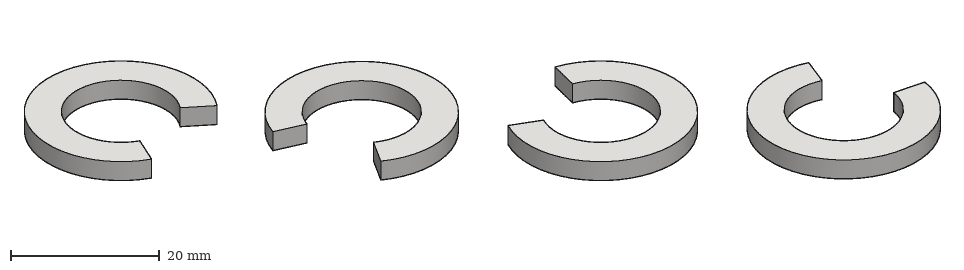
import cadquery as cq
import math

outer_radius = 13.0
inner_radius = 8.0
thickness = 3.0
gap_half_angle = 39.0


def point_at(radius, angle):
    """Point on a circle about the ring axis, at an angle in degrees from +X."""
    radians = math.radians(angle)
    return (radius * math.cos(radians), radius * math.sin(radians))


def open_ring():
    """Flat C-shaped ring with radial end faces, resting on Z = 0."""
    return (
        cq.Workplane("XY")
        .moveTo(*point_at(outer_radius, gap_half_angle))
        .threePointArc((-outer_radius, 0), point_at(outer_radius, -gap_half_angle))
        .lineTo(*point_at(inner_radius, -gap_half_angle))
        .threePointArc((-inner_radius, 0), point_at(inner_radius, gap_half_angle))
        .close()
        .extrude(thickness)
    )


result = open_ring()